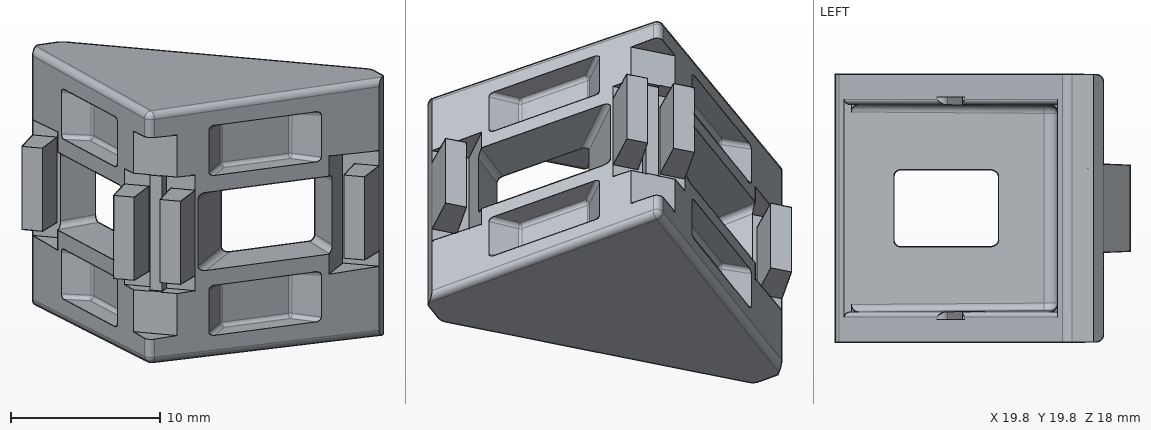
import cadquery as cq
import math

SQRT2 = math.sqrt(2)
DIAGONAL_NORMAL = cq.Vector(1, 1, 0)
PULL_PLANE = cq.Plane(origin=(0, 0, 0), xDir=(1, -1, 0), normal=(1, 1, 0))
REACH = 29.7
OUTSIDE = 0.4
EDGE_WINDOW = 0.6

leg_length = 18.0
body_height = 18.0
hypotenuse_offset = 20.47
mouth_pull = -hypotenuse_offset / SQRT2
end_bevel = 0.67
tip_round = 0.91
body_draft = 1.0
outer_edge_round = 0.5

leg_thickness = 3.09
cavity_half_height = 6.95
cavity_draft = 0.6
cavity_corner_round = 0.91
cavity_edge_round = 0.5
cavity_mouth_round = 0.34
cover_slot_half_width = 0.81
cover_slot_depth = 2.38
cover_slot_half_height = 7.46
cover_slot_flare = 0.5

tab_pitch = 13.78
tab_base_x = end_bevel - leg_length
tab_run = 2.0
tab_projection = 1.8
tab_tip_step = 1.03
tab_base_half_height = 2.97
tab_tip_half_height = 2.9
end_recess_floor = 1.82
corner_recess_floor = 1.45
recess_wall_run = 1.92
recess_wall_depth = 1.78
recess_half_height = 4.02
recess_draft = 2.0

corner_cut = 2.18
corner_cut_half_height = 6.97
rib_cut = 2.44

opening_far_x = -14.04
opening_inner_x = -7.05
opening_mouth_x = -3.75
opening_mouth_half_height = 2.71
opening_inner_half_height = 2.57
opening_round = 0.44

pocket_far_x = -12.99
pocket_near_x = -4.57
pocket_floor_far_x = -11.46
pocket_floor_near_x = -6.25
pocket_depth = 1.6
pocket_z = 5.56
pocket_mouth_half_height = 1.75
pocket_floor_half_height = 1.66
pocket_round = 0.3


def plan_prism(outline):
    """Prism along Z, centred on z = 0, from an outline in X and Y."""
    return cq.Workplane("XY").polyline(outline).close().extrude(REACH, both=True)


def trapezoid(plane, start, start_half, end, end_half):
    """Prism across the plane whose height changes evenly from start to end."""
    outline = [(start, start_half), (end, end_half), (end, -end_half), (start, -start_half)]
    return cq.Workplane(plane).polyline(outline).close().extrude(REACH, both=True)


def drafted_along_pull(prism, pull, half_height, draft):
    """Trim a prism to a half height given at one pull position and growing with it by the draft."""
    slope = math.tan(math.radians(draft))
    start, end = pull - REACH, pull + REACH
    growth = slope * REACH
    return prism.intersect(trapezoid(PULL_PLANE, start, half_height - growth, end, half_height + growth))


def both_legs(shape):
    """The shape together with its copy on the other leg."""
    return [shape, shape.mirror(DIAGONAL_NORMAL)]


def edges_near(x, y, half_height):
    """Selector for edges centred close to (x, y) and no further than half_height from z = 0."""
    low = (x - EDGE_WINDOW, y - EDGE_WINDOW, -half_height)
    high = (x + EDGE_WINDOW, y + EDGE_WINDOW, half_height)
    return cq.selectors.BoxSelector(low, high)


def make_body():
    """Triangular block with rounded tips and rounded edges along its mounting faces."""
    sharp_tip = hypotenuse_offset - leg_length
    outline = [
        (0, 0),
        (end_bevel - leg_length, 0),
        (-leg_length, end_bevel),
        (-leg_length, sharp_tip),
        (-sharp_tip, leg_length),
        (-end_bevel, leg_length),
        (0, leg_length - end_bevel),
    ]
    prism = plan_prism(outline)
    for x, y in [(-leg_length, sharp_tip), (-sharp_tip, leg_length)]:
        prism = prism.edges(edges_near(x, y, EDGE_WINDOW)).fillet(tip_round)
    body = drafted_along_pull(prism, mouth_pull, body_height / 2, -body_draft)
    along_x = edges_near(-leg_length / 2, 0, body_height / 2)
    along_y = edges_near(0, leg_length / 2, body_height / 2)
    corner = edges_near(0, 0, EDGE_WINDOW)
    return body.edges(along_x + along_y + corner).fillet(outer_edge_round)


def make_cavity():
    """Triangular hollow between the legs, its upper and lower edges flaring out at the mouth."""
    inner = leg_thickness
    outline = [
        (-inner, inner),
        (-inner, hypotenuse_offset + inner),
        (-hypotenuse_offset - inner, inner),
    ]
    between_legs = plan_prism(outline).edges("|Z and >(1,-1,0)").fillet(cavity_corner_round)
    hollow = drafted_along_pull(between_legs, mouth_pull, cavity_half_height, -cavity_draft)
    hollow = hollow.edges("not |Z").edges("not <(1,-1,0)").fillet(cavity_edge_round)

    flare_end = mouth_pull + cavity_mouth_round
    wall = cavity_half_height - cavity_mouth_round * math.tan(math.radians(cavity_draft))
    lip = wall + cavity_mouth_round
    flare = (
        cq.Workplane(PULL_PLANE)
        .moveTo(mouth_pull, -lip)
        .radiusArc((flare_end, -wall), cavity_mouth_round)
        .lineTo(flare_end, wall)
        .radiusArc((mouth_pull, lip), cavity_mouth_round)
        .close()
        .extrude(REACH, both=True)
    )
    return hollow.union(between_legs.intersect(flare))


def make_cover_slot():
    """Slot with flared sides, running in from the cavity mouth above and below the cavity."""
    half_mouth = cover_slot_half_width + cover_slot_flare
    flare_end = mouth_pull + cover_slot_flare
    bottom = mouth_pull + cover_slot_depth
    slot_plane = cq.Plane(origin=(0, 0, 0), xDir=(1, -1, 0), normal=(0, 0, 1))
    profile = (
        cq.Workplane(slot_plane)
        .moveTo(mouth_pull, -half_mouth)
        .radiusArc((flare_end, -cover_slot_half_width), cover_slot_flare)
        .lineTo(bottom, -cover_slot_half_width)
        .lineTo(bottom, cover_slot_half_width)
        .lineTo(flare_end, cover_slot_half_width)
        .radiusArc((mouth_pull, half_mouth), cover_slot_flare)
        .close()
    )
    return profile.extrude(cover_slot_half_height, both=True)


def make_recess(start_x, floor_length):
    """Drafted recess around a tab: its floor faces the pull direction, its far wall runs outwards."""
    deep_x = start_x + floor_length
    outline = [
        (start_x, 0),
        (deep_x, floor_length),
        (deep_x + recess_wall_run, floor_length - recess_wall_depth),
        (deep_x + recess_wall_run, -OUTSIDE),
        (start_x, -OUTSIDE),
    ]
    return drafted_along_pull(plan_prism(outline), start_x / SQRT2, recess_half_height, recess_draft)


def make_tab(base_x):
    """Tapered tab standing on a recess floor and pointing along the pull direction."""
    tip_x = base_x + tab_run
    outline = [
        (base_x, 0),
        (tip_x, -tab_projection),
        (tip_x + tab_tip_step, tab_tip_step - tab_projection),
        (tip_x + tab_tip_step - tab_projection, tab_tip_step - tab_projection + tab_run),
    ]
    base_pull = base_x / SQRT2
    tip_pull = (tip_x + tab_projection) / SQRT2
    taper = trapezoid(PULL_PLANE, base_pull, tab_base_half_height, tip_pull, tab_tip_half_height)
    return plan_prism(outline).intersect(taper)


def make_corner_cut(leg_cut, half_height):
    """Cut at 45 degrees across the outer corner, taking the same length off both legs."""
    outline = [(-leg_cut, 0), (0, leg_cut), (leg_cut, 0), (0, -leg_cut)]
    return drafted_along_pull(plan_prism(outline), -leg_cut / SQRT2, half_height, recess_draft)


def make_opening():
    """Screw opening through the leg along -X, one side slanting along the pull direction."""
    slant = (opening_mouth_x - opening_inner_x) / leg_thickness
    end_y = leg_thickness + OUTSIDE
    outline = [
        (opening_far_x, 0),
        (opening_mouth_x, 0),
        (opening_mouth_x - slant * end_y, end_y),
        (opening_far_x, end_y),
    ]
    taper_per_y = (opening_mouth_half_height - opening_inner_half_height) / leg_thickness
    end_half_height = opening_mouth_half_height - taper_per_y * end_y
    taper = trapezoid(cq.Plane.YZ(), 0, opening_mouth_half_height, end_y, end_half_height)
    return plan_prism(outline).intersect(taper).edges("not(<Y or >Y or |X)").fillet(opening_round)


def make_pocket():
    """Blind pocket in the mounting face of the leg along -X, centred on z = 0."""
    outline = [
        (pocket_far_x, 0),
        (pocket_near_x, 0),
        (pocket_floor_near_x, pocket_depth),
        (pocket_floor_far_x, pocket_depth),
    ]
    taper = trapezoid(cq.Plane.YZ(), 0, pocket_mouth_half_height, pocket_depth, pocket_floor_half_height)
    pocket = plan_prism(outline).intersect(taper)
    return pocket.faces("not(<Y)").edges("not(<Y)").fillet(pocket_round)


result = make_body().cut(make_cavity()).cut(make_cover_slot())
result = result.cut(make_corner_cut(corner_cut, corner_cut_half_height))
result = result.cut(make_corner_cut(rib_cut, recess_half_height))
pocket = make_pocket()
tab_positions = [(tab_base_x, end_recess_floor), (tab_base_x + tab_pitch, corner_recess_floor)]
leg_cuts = [make_opening()]
leg_cuts += [pocket.translate((0, 0, z)) for z in (-pocket_z, pocket_z)]
leg_cuts += [make_recess(x, floor) for x, floor in tab_positions]
for cutter in leg_cuts:
    for copy in both_legs(cutter):
        result = result.cut(copy)
for x, _ in tab_positions:
    for tab in both_legs(make_tab(x)):
        result = result.union(tab)